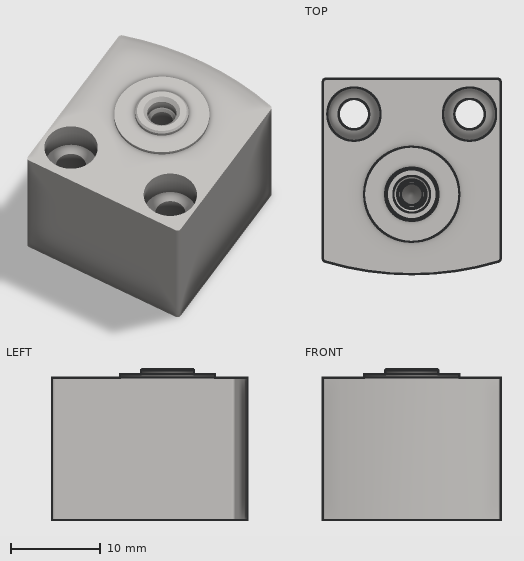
import cadquery as cq
import math

block_width = 20.0
block_height = 16.0
back_y = 13.0
front_crown_y = -9.0
front_radius = 34.0
corner_radius = 0.4

screw_spacing = 13.0
screw_y = 9.0
screw_hole_diameter = 3.4
counterbore_diameter = 6.0
counterbore_depth = 3.4

overall_height = 17.0
insert_diameter = 10.7
insert_proud_height = 0.4
insert_seat_depth = 10.0
nose_diameter = 6.0
nose_chamfer = 0.2

mouth_diameter = 4.13
upper_bore_diameter = 3.3
upper_bore_depth = 1.5
lower_mouth_diameter = 3.0
lower_bore_diameter = 2.46
lower_bore_depth = 6.0
drill_point_angle = 118.0

seat_z = block_height - insert_seat_depth


def make_block():
    half_width = block_width / 2
    front_drop = front_radius - math.sqrt(front_radius**2 - half_width**2)
    front_corner_y = front_crown_y + front_drop
    block = (
        cq.Workplane("XY")
        .moveTo(-half_width, back_y)
        .lineTo(-half_width, front_corner_y)
        .threePointArc((0, front_crown_y), (half_width, front_corner_y))
        .lineTo(half_width, back_y)
        .close()
        .extrude(block_height)
        .edges("|Z")
        .fillet(corner_radius)
    )
    block = (
        block.faces(">Z")
        .workplane(origin=(0, 0, block_height))
        .pushPoints([(side * screw_spacing / 2, screw_y) for side in (-1, 1)])
        .cboreHole(screw_hole_diameter, counterbore_diameter, counterbore_depth)
    )
    seat = cq.Workplane("XY", origin=(0, 0, seat_z)).circle(insert_diameter / 2).extrude(insert_seat_depth)
    return block.cut(seat)


def make_insert():
    """Turned solid: one half section revolved about the Z axis."""
    insert_radius = insert_diameter / 2
    nose_radius = nose_diameter / 2
    mouth_radius = mouth_diameter / 2
    upper_radius = upper_bore_diameter / 2
    lower_mouth_radius = lower_mouth_diameter / 2
    lower_radius = lower_bore_diameter / 2

    shoulder_z = block_height + insert_proud_height
    step_z = overall_height - upper_bore_depth
    lower_end_z = overall_height - lower_bore_depth
    tip_z = lower_end_z - lower_radius / math.tan(math.radians(drill_point_angle / 2))

    half_section = [
        (0, seat_z),
        (insert_radius, seat_z),
        (insert_radius, shoulder_z),
        (nose_radius, shoulder_z),
        (nose_radius, overall_height - nose_chamfer),
        (nose_radius - nose_chamfer, overall_height),
        (mouth_radius, overall_height),
        (upper_radius, overall_height - (mouth_radius - upper_radius)),
        (upper_radius, step_z),
        (lower_mouth_radius, step_z),
        (lower_radius, step_z - (lower_mouth_radius - lower_radius)),
        (lower_radius, lower_end_z),
        (0, tip_z),
    ]
    return cq.Workplane("XZ").polyline(half_section).close().revolve(360, (0, 0), (0, 1))


block = make_block()
insert = make_insert()

result = cq.Compound.makeCompound([block.val(), insert.val()])